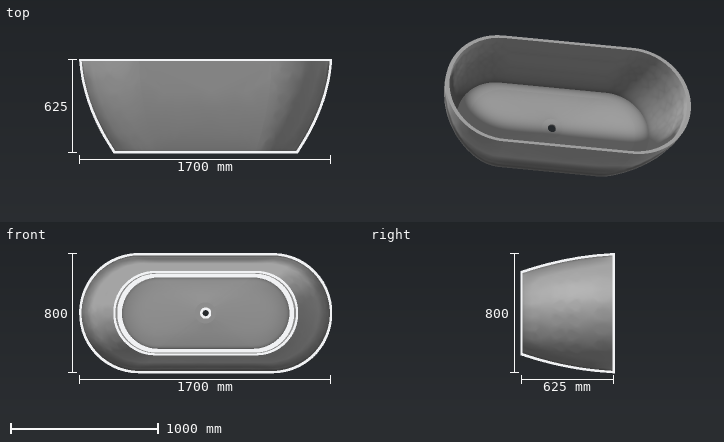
import cadquery as cq

length = 1700.0
height = 625.0
width = 800.0
base_length = 1238.0
base_width = 558.0
base_y = -height / 2
rim_y = height / 2

end_lean = 46.0
side_lean = 32.0

end_wall = 27.0
side_wall = 19.0
floor_thickness = 15.0
recess_depth = 107.0
recess_bevel_height = 20.0
end_taper = 7.0
side_taper = 3.0
end_bevel = 10.0
side_bevel = 8.0
floor_y = base_y + recess_depth + floor_thickness

drain_diameter = 58.0
drain_seat_diameter = 143.0
floor_fall = 19.0

section_count = 4


def half_size(full, base, lean, depth_ratio):
    """Half size of the outer wall, with depth_ratio 0 at the rim and 1 at the base."""
    curve = (full - base) / 2 - lean
    return full / 2 - lean * depth_ratio - curve * depth_ratio**2


def stadium(y, half_length, half_width):
    """Closed outline with straight sides and semicircular ends, at height y."""
    straight = half_length - half_width
    return (
        cq.Workplane("XZ", origin=(0, y, 0))
        .moveTo(-straight, half_width)
        .lineTo(straight, half_width)
        .threePointArc((half_length, 0), (straight, -half_width))
        .lineTo(-straight, -half_width)
        .threePointArc((-half_length, 0), (-straight, half_width))
        .close()
        .val()
    )


def loft(outlines, ruled=False):
    return cq.Workplane(obj=cq.Solid.makeLoft(outlines, ruled))


def curved_body(bottom_y, end_inset, side_inset):
    """Solid following the outer wall from bottom_y to the rim, moved inward by the insets."""
    outlines = []
    for i in range(section_count):
        y = bottom_y + (rim_y - bottom_y) * i / (section_count - 1)
        depth_ratio = (rim_y - y) / height
        half_length = half_size(length, base_length, end_lean, depth_ratio) - end_inset
        half_width = half_size(width, base_width, side_lean, depth_ratio) - side_inset
        outlines.append(stadium(y, half_length, half_width))
    return loft(outlines)


def recess_outline(depth, end_inset, side_inset):
    return stadium(base_y + depth, base_length / 2 - end_inset, base_width / 2 - side_inset)


def floor_edge(depth):
    """Outline of the floor inside the recess bevel."""
    return recess_outline(
        depth,
        end_wall + end_taper + end_bevel,
        side_wall + side_taper + side_bevel,
    )


def base_recess():
    """Tapered pocket under the floor, bevelled where it meets the floor."""
    outlines = [
        recess_outline(0, end_wall, side_wall),
        recess_outline(
            recess_depth - recess_bevel_height, end_wall + end_taper, side_wall + side_taper
        ),
        floor_edge(recess_depth),
    ]
    return loft(outlines, ruled=True)


def floor_dish(depth):
    """Shallow funnel from the floor edge at the given depth down to the drain seat."""
    seat_y = base_y + depth - floor_fall
    seat_outline = (
        cq.Workplane("XZ", origin=(0, seat_y, 0)).circle(drain_seat_diameter / 2).val()
    )
    return loft([floor_edge(depth), seat_outline], ruled=True)


def cylinder(diameter, start_y, end_y):
    return (
        cq.Workplane("XZ", origin=(0, end_y, 0))
        .circle(diameter / 2)
        .extrude(end_y - start_y)
    )


tub = curved_body(base_y, 0, 0)
basin = curved_body(floor_y, end_wall, side_wall)
recess = base_recess().cut(floor_dish(recess_depth))
basin_dish = floor_dish(recess_depth + floor_thickness)
drain = cylinder(drain_diameter, base_y, rim_y)

result = tub.cut(basin).cut(basin_dish).cut(recess).cut(drain)